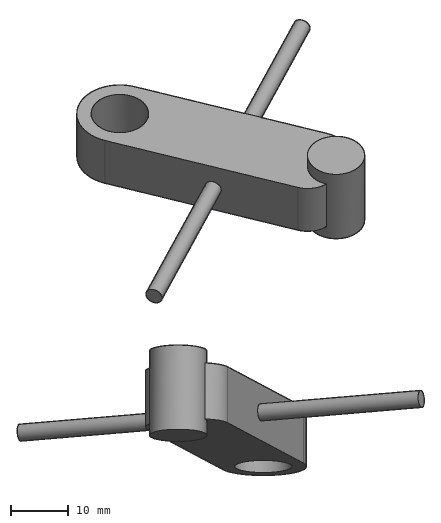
import cadquery as cq
import math

arm_width = 15.0
arm_thickness = 10.0
overall_length = 52.5
bore_diameter = 10.0
pin_diameter = 10.0
pin_length = 15.0
rod_diameter = 3.0
rod_length = 75.0
shoulder_radius = 5.0

arm_radius = arm_width / 2
pin_radius = pin_diameter / 2
center_distance = overall_length - arm_radius - pin_radius
bore_x = -center_distance / 2
pin_x = center_distance / 2

shoulder_drop = arm_radius - pin_radius
shoulder_run = math.sqrt(2 * shoulder_radius * shoulder_drop - shoulder_drop**2)
shoulder_x = pin_x - shoulder_run


def upright_cylinder(x, diameter, length):
    """Cylinder along Z, centred on the mid-plane of the arm."""
    return cq.Workplane("XY").center(x, 0).circle(diameter / 2).extrude(length / 2, both=True)


def make_arm():
    """Flat arm with a rounded bore end and shoulders at the pin end."""
    outline = (
        cq.Workplane("XY")
        .moveTo(bore_x, -arm_radius)
        .lineTo(shoulder_x, -arm_radius)
        .radiusArc((pin_x, -pin_radius), -shoulder_radius)
        .lineTo(pin_x, pin_radius)
        .radiusArc((shoulder_x, arm_radius), -shoulder_radius)
        .lineTo(bore_x, arm_radius)
        .threePointArc((bore_x - arm_radius, 0), (bore_x, -arm_radius))
        .close()
    )
    return outline.extrude(arm_thickness / 2, both=True)


bore = upright_cylinder(bore_x, bore_diameter, arm_thickness)
pin = upright_cylinder(pin_x, pin_diameter, pin_length)
cross_rod = cq.Workplane("XZ").circle(rod_diameter / 2).extrude(rod_length / 2, both=True)

result = make_arm().cut(bore).union(pin).union(cross_rod)